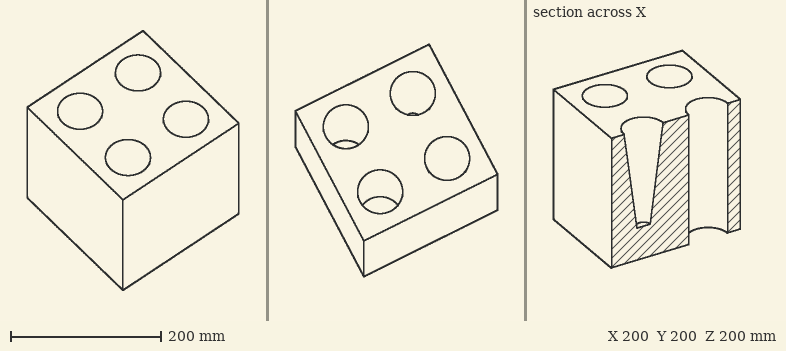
import cadquery as cq

side = 200.0
top_z = side

hole_offset = side / 4
mouth_diameter = 60.0
taper_end_diameter = 20.0
blind_depth = side * 0.75


def straight_hole(x, y, depth):
    """Cylindrical cutter going down from the top face."""
    return cq.Workplane("XY", origin=(x, y, top_z)).circle(mouth_diameter / 2).extrude(-depth)


def tapered_hole(x, y, depth):
    """Conical cutter narrowing from the top face to its floor."""
    return (
        cq.Workplane("XY", origin=(x, y, top_z))
        .circle(mouth_diameter / 2)
        .workplane(offset=-depth)
        .circle(taper_end_diameter / 2)
        .loft(ruled=True)
    )


cutters = [
    straight_hole(-hole_offset, hole_offset, blind_depth),
    straight_hole(hole_offset, hole_offset, side),
    tapered_hole(-hole_offset, -hole_offset, side),
    tapered_hole(hole_offset, -hole_offset, blind_depth),
]

result = cq.Workplane("XY").box(side, side, side, centered=(True, True, False))
for cutter in cutters:
    result = result.cut(cutter)